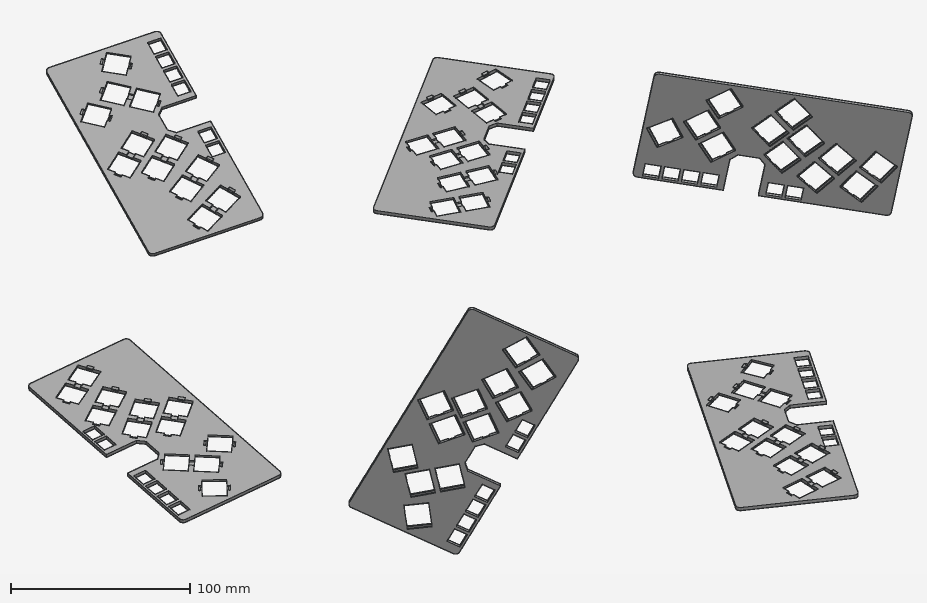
import cadquery as cq
import math

PLATE_LENGTH = 146.3
PLATE_WIDTH = 69.5
PLATE_THICKNESS = 2.2
CORNER_RADIUS = 2.6
BACK_EDGE_Y = PLATE_WIDTH / 2

LAYOUT_CENTRE_X = -11.7

BAY_WIDTH = 19.9
BAY_DEPTH = 24.6
BAY_CHAMFER = 3.8

WINDOW_LENGTH = 9.0
WINDOW_WIDTH = 8.0
WINDOW_PITCH = 11.0
WINDOW_ROW_Y = 29.3
FIRST_WINDOW_OFFSET = 18.5
LEFT_WINDOW_COUNT = 4
RIGHT_WINDOW_COUNT = 2

SWITCH_SIZE = 13.9
SWITCH_PITCH = 17.0
HALF_PITCH = SWITCH_PITCH / 2
CLIP_WIDTH = 4.0
CLIP_DEPTH = 1.0
CLIP_FLOOR_LENGTH = 0.9
CLIP_LENGTH = 1.9

LIP_THICKNESS = 1.2
UNDERCUT_REACH = 1.0

INNER_TILT = 40.0
MIDDLE_TILT = 35.0
OUTER_TILT = 30.0

INNER_OFFSET = 24.0
INNER_Y = 0.7
MIDDLE_OFFSET = 44.0
MIDDLE_Y = 10.1
OUTER_OFFSET = 68.2
OUTER_Y = 11.4
THUMB_OFFSET = 19.6
THUMB_Y = -22.0


def along_tilt(x, y, tilt, distance):
    """Point reached from (x, y) by moving along an axis turned by tilt from +Y."""
    angle = math.radians(tilt)
    return x - distance * math.sin(angle), y + distance * math.cos(angle)


def make_plate():
    return (
        cq.Workplane("XY")
        .box(PLATE_LENGTH, PLATE_WIDTH, PLATE_THICKNESS, centered=(True, True, False))
        .edges("|Z")
        .fillet(CORNER_RADIUS)
    )


def make_bay():
    return (
        cq.Workplane("XY")
        .box(BAY_WIDTH, 2 * BAY_DEPTH, PLATE_THICKNESS, centered=(True, True, False))
        .edges("|Z and <Y")
        .chamfer(BAY_CHAMFER)
        .translate((LAYOUT_CENTRE_X, BACK_EDGE_Y, 0))
    )


def make_windows():
    left = [(-FIRST_WINDOW_OFFSET - i * WINDOW_PITCH, 0) for i in range(LEFT_WINDOW_COUNT)]
    right = [(FIRST_WINDOW_OFFSET + i * WINDOW_PITCH, 0) for i in range(RIGHT_WINDOW_COUNT)]
    return (
        cq.Workplane("XY", origin=(LAYOUT_CENTRE_X, WINDOW_ROW_Y, 0))
        .pushPoints(left + right)
        .rect(WINDOW_LENGTH, WINDOW_WIDTH)
        .extrude(PLATE_THICKNESS)
    )


def make_key_column(x, y, tilt, count):
    """Line of switch openings centred on (x, y), clipped at its ends and joined by channels."""
    half_span = (count - 1) * HALF_PITCH
    centres = [(0, i * SWITCH_PITCH - half_span) for i in range(count)]
    openings = (
        cq.Workplane("XY")
        .pushPoints(centres)
        .rect(SWITCH_SIZE, SWITCH_SIZE)
        .extrude(PLATE_THICKNESS)
    )
    undercuts = (
        cq.Workplane("XY")
        .pushPoints(centres)
        .rect(SWITCH_SIZE + 2 * UNDERCUT_REACH, SWITCH_SIZE)
        .extrude(PLATE_THICKNESS - LIP_THICKNESS)
    )
    floor_z = PLATE_THICKNESS - CLIP_DEPTH
    column_end = half_span + SWITCH_SIZE / 2
    floor_end = column_end + CLIP_FLOOR_LENGTH
    ramp_end = column_end + CLIP_LENGTH
    clips = (
        cq.Workplane("YZ")
        .moveTo(-ramp_end, PLATE_THICKNESS)
        .lineTo(-floor_end, floor_z)
        .lineTo(floor_end, floor_z)
        .lineTo(ramp_end, PLATE_THICKNESS)
        .close()
        .extrude(CLIP_WIDTH / 2, both=True)
    )
    column = openings.union(undercuts).union(clips)
    return column.rotate((0, 0, 0), (0, 0, 1), tilt).translate((x, y, 0))


def left_column(offset, y, tilt, count):
    return make_key_column(LAYOUT_CENTRE_X - offset, y, -tilt, count)


def right_column(offset, y, tilt, count):
    return make_key_column(LAYOUT_CENTRE_X + offset, y, tilt, count)


lone_offset, lone_y = along_tilt(MIDDLE_OFFSET, MIDDLE_Y, MIDDLE_TILT, -HALF_PITCH)
thumb_offset, thumb_y = along_tilt(THUMB_OFFSET, THUMB_Y, INNER_TILT, HALF_PITCH)

key_columns = [
    left_column(lone_offset, lone_y, MIDDLE_TILT, 1),
    left_column(INNER_OFFSET, INNER_Y, INNER_TILT, 2),
    left_column(THUMB_OFFSET, THUMB_Y, INNER_TILT, 1),
    right_column(thumb_offset, thumb_y, INNER_TILT, 2),
    right_column(INNER_OFFSET, INNER_Y, INNER_TILT, 2),
    right_column(MIDDLE_OFFSET, MIDDLE_Y, MIDDLE_TILT, 2),
    right_column(OUTER_OFFSET, OUTER_Y, OUTER_TILT, 2),
]

result = make_plate().cut(make_bay()).cut(make_windows())
for key_column in key_columns:
    result = result.cut(key_column)